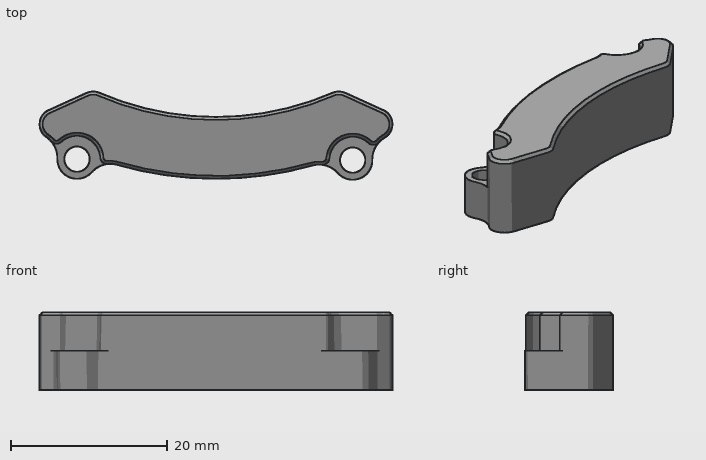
import cadquery as cq
import math

length = 45.2
height = 10.0
inner_radius = 37.65
outer_radius = 45.6
corner_radius = 2.0
peak_x = 15.75
tip_x = length / 2 - corner_radius
tip_y = -38.6
top_chamfer = 0.4

lug_circle_radius = 46.6
lug_angle = 22.25
lug_skew = 0.2
lug_radius = 2.55
lug_height = 5.05
hole_diameter = 3.2
neck_radius = 3.15
recess_radius = 3.0
recess_corner_radius = 0.9


def toward(start, target, distance):
    """Point at a distance from start in the direction of target."""
    fraction = distance / math.dist(start, target)
    return tuple(s + (t - s) * fraction for s, t in zip(start, target))


def blend_center(first, first_radius, second, second_radius, blend_radius, side):
    """Centre of a circle touching two circles from outside; side 1 is left of first -> second, -1 right."""
    span = math.dist(first, second)
    reach_1 = first_radius + blend_radius
    reach_2 = second_radius + blend_radius
    along = (reach_1**2 - reach_2**2 + span**2) / (2 * span)
    aside = side * math.sqrt(reach_1**2 - along**2)
    ux = (second[0] - first[0]) / span
    uy = (second[1] - first[1]) / span
    return (first[0] + along * ux - aside * uy, first[1] + along * uy + aside * ux)


def arc_to(outline, center, start, end):
    """Add the arc of under half a turn from start to end around center."""
    chord_middle = ((start[0] + end[0]) / 2, (start[1] + end[1]) / 2)
    middle = toward(center, chord_middle, math.dist(center, start))
    return outline.threePointArc(middle, end)


def lug_center(side):
    angle = math.radians(lug_angle - side * lug_skew)
    return (side * lug_circle_radius * math.sin(angle), -lug_circle_radius * math.cos(angle))


def end_arcs(side):
    """Arcs (center, start, end) of one end, from the inner arc round to the outer arc."""
    axis = (0.0, 0.0)
    peak = (side * peak_x, -math.sqrt((inner_radius + corner_radius)**2 - peak_x**2))
    tip = (side * tip_x, tip_y)
    lug = lug_center(side)

    face_length = math.dist(peak, tip)
    normal_x = side * (peak[1] - tip[1]) / face_length
    normal_y = (tip_x - peak_x) / face_length
    face_start = (peak[0] + corner_radius * normal_x, peak[1] + corner_radius * normal_y)
    face_end = (tip[0] + corner_radius * normal_x, tip[1] + corner_radius * normal_y)

    tip_neck = blend_center(tip, corner_radius, lug, lug_radius, neck_radius, side)
    ring_neck = blend_center(lug, lug_radius, axis, outer_radius, neck_radius, side)
    tip_joint = toward(tip, tip_neck, corner_radius)
    lug_outer_joint = toward(lug, tip_neck, lug_radius)
    lug_inner_joint = toward(lug, ring_neck, lug_radius)
    ring_joint = toward(axis, ring_neck, outer_radius)
    return [
        (peak, toward(peak, axis, corner_radius), face_start),
        (tip, face_end, tip_joint),
        (tip_neck, tip_joint, lug_outer_joint),
        (lug, lug_outer_joint, lug_inner_joint),
        (ring_neck, lug_inner_joint, ring_joint),
    ]


def body():
    left = end_arcs(-1)
    right = [(center, end, start) for center, start, end in reversed(end_arcs(1))]
    left_peak, left_flank = left[0], left[1:]
    right_flank, right_peak = right[:-1], right[-1]

    outline = cq.Workplane("XY").moveTo(*left_peak[1])
    outline = arc_to(outline, *left_peak)
    outline = outline.lineTo(*left_flank[0][1])
    for arc in left_flank:
        outline = arc_to(outline, *arc)
    outline = outline.threePointArc((0, -outer_radius), right_flank[0][1])
    for arc in right_flank:
        outline = arc_to(outline, *arc)
    outline = outline.lineTo(*right_peak[1])
    outline = arc_to(outline, *right_peak)
    outline = outline.threePointArc((0, -inner_radius), left_peak[1])
    return outline.close().extrude(height)


lug_centers = [lug_center(-1), lug_center(1)]
recesses = (
    cq.Workplane("XY", origin=(0, 0, lug_height))
    .pushPoints(lug_centers)
    .circle(recess_radius)
    .extrude(height - lug_height)
)
result = body().cut(recesses)
recess_rims = result.edges("|Z").filter(lambda edge: edge.BoundingBox().zmin > lug_height - 0.05)
result = recess_rims.fillet(recess_corner_radius)
result = result.faces(">Z").chamfer(top_chamfer)
holes = cq.Workplane("XY").pushPoints(lug_centers).circle(hole_diameter / 2).extrude(lug_height)
result = result.cut(holes)